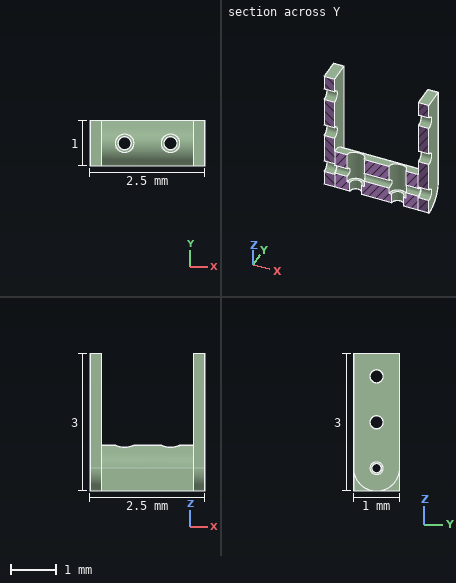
import cadquery as cq

total_length = 2.5
width = 1.0
total_height = 3.0

arm_thickness = 0.25
end_radius = width / 2
pivot_height = end_radius
arm_hole_diameter = 0.28
arm_hole_count = 3
arm_hole_spacing = 1.0

block_length = total_length - 2 * arm_thickness
pivot_hole_diameter = 0.20
screw_hole_diameter = 0.28
counterbore_diameter = 0.40
counterbore_floor = 0.25
screw_spacing = 1.0


def make_block():
    """Block with a half-round top, a lengthwise pivot bore and two counterbored screw holes."""
    block = (
        cq.Workplane("YZ", origin=(-block_length / 2, 0, 0))
        .moveTo(-width / 2, 0)
        .lineTo(width / 2, 0)
        .lineTo(width / 2, pivot_height)
        .threePointArc((0, pivot_height + end_radius), (-width / 2, pivot_height))
        .close()
        .extrude(block_length)
    )
    pivot_bore = (
        cq.Workplane("YZ", origin=(-block_length / 2, 0, pivot_height))
        .circle(pivot_hole_diameter / 2)
        .extrude(block_length)
    )
    screw_points = [(-screw_spacing / 2, 0), (screw_spacing / 2, 0)]
    screw_holes = (
        cq.Workplane("XY")
        .pushPoints(screw_points)
        .circle(screw_hole_diameter / 2)
        .extrude(pivot_height + end_radius)
    )
    counterbores = (
        cq.Workplane("XY", origin=(0, 0, counterbore_floor))
        .pushPoints(screw_points)
        .circle(counterbore_diameter / 2)
        .extrude(pivot_height + end_radius - counterbore_floor)
    )
    return block.cut(pivot_bore).cut(screw_holes).cut(counterbores)


def make_arm(start_x):
    """Flat arm with a round lower end and a column of through holes, starting at start_x."""
    arm = (
        cq.Workplane("YZ", origin=(start_x, 0, 0))
        .moveTo(-width / 2, total_height)
        .lineTo(-width / 2, pivot_height)
        .threePointArc((0, pivot_height - end_radius), (width / 2, pivot_height))
        .lineTo(width / 2, total_height)
        .close()
        .extrude(arm_thickness)
    )
    hole_points = [(0, pivot_height + i * arm_hole_spacing) for i in range(arm_hole_count)]
    holes = (
        cq.Workplane("YZ", origin=(start_x, 0, 0))
        .pushPoints(hole_points)
        .circle(arm_hole_diameter / 2)
        .extrude(arm_thickness)
    )
    return arm.cut(holes)


block = make_block()
arms = [make_arm(start_x) for start_x in (-total_length / 2, block_length / 2)]

result = cq.Compound.makeCompound([block.val(), *[arm.val() for arm in arms]])